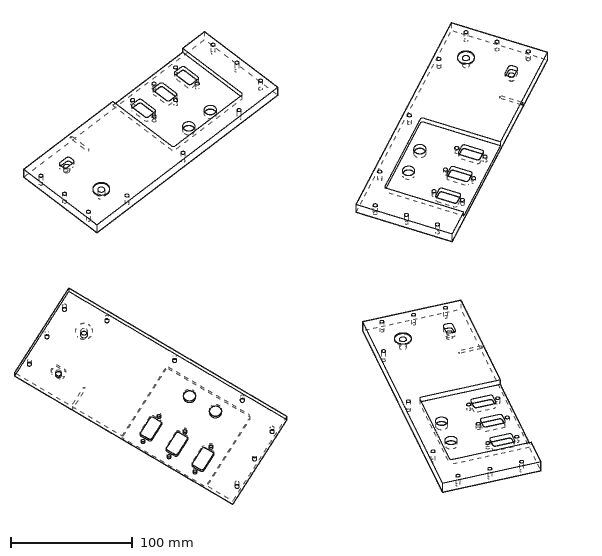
import cadquery as cq
import math

WIDTH = 85.0
LENGTH = 210.0
THICKNESS = 10.0

SCREW_DIA = 3.4
SCREW_INSET = 5.0
END_SCREW_PITCH = 27.5
SIDE_SCREW_PITCH = 65.0
SIDE_SCREW_MIDDLE_Y = LENGTH / 2

POCKET_WIDTH = 70.1
POCKET_LENGTH = 81.0
POCKET_DEPTH = THICKNESS / 2
POCKET_RADIUS = 2.0
POCKET_MIDDLE_Y = 144.0

LEFT_COLUMN_X = 20.0
RIGHT_COLUMN_X = 60.0

OPENING_PITCH = 25.0
CUTOUT_WIDTH = 19.0
CUTOUT_HEIGHT = 11.1
CUTOUT_RADIUS = 2.0
CONNECTOR_SCREW_SPACING = 25.0
ROUND_OPENING_DIA = 10.0

RECESS_Y = 30.0
SLOT_WIDTH = 8.0
SLOT_LENGTH = 11.5
SLOT_RADIUS = 2.5
SLOT_DEPTH = 5.0
SLOT_HOLE_DIA = 5.0
COUNTERBORE_DIA = 13.9
COUNTERBORE_DEPTH = 1.0
COUNTERBORE_HOLE_DIA = 5.7

CROSS_HOLE_DIA = 2.0
CROSS_HOLE_Y = 55.0
CROSS_HOLE_DEPTH = LEFT_COLUMN_X
DRILL_POINT_ANGLE = 118.0


def through_holes(points, diameter):
    """Vertical cylinders that pass through the whole plate."""
    return cq.Workplane("XY").pushPoints(points).circle(diameter / 2).extrude(THICKNESS)


def rounded_block(width, length, radius, bottom_z, points):
    """Blocks with rounded vertical edges, from bottom_z up to the plate top."""
    blocks = cq.Workplane("XY", origin=(0, 0, bottom_z)).pushPoints(points)
    return blocks.rect(width, length).extrude(THICKNESS - bottom_z).edges("|Z").fillet(radius)


def edge_screw_points():
    """Three screws along each short end and three along the +X side."""
    points = []
    for step in (-1, 0, 1):
        end_x = WIDTH / 2 + step * END_SCREW_PITCH
        points.append((end_x, SCREW_INSET))
        points.append((end_x, LENGTH - SCREW_INSET))
        points.append((WIDTH - SCREW_INSET, SIDE_SCREW_MIDDLE_Y + step * SIDE_SCREW_PITCH))
    return points


def pocket():
    """Open pocket: only the two inner corners on its +X side are rounded."""
    block = cq.Workplane("XY", origin=(0, 0, THICKNESS - POCKET_DEPTH))
    block = block.center(POCKET_WIDTH / 2, POCKET_MIDDLE_Y).rect(POCKET_WIDTH, POCKET_LENGTH)
    return block.extrude(POCKET_DEPTH).edges("|Z and >X").fillet(POCKET_RADIUS)


def counterbore():
    """Shallow round recess in the top face."""
    disc = cq.Workplane("XY", origin=(RIGHT_COLUMN_X, RECESS_Y, THICKNESS - COUNTERBORE_DEPTH))
    return disc.circle(COUNTERBORE_DIA / 2).extrude(COUNTERBORE_DEPTH)


def cross_hole():
    """Horizontal blind hole at half thickness, with a conical drill point."""
    radius = CROSS_HOLE_DIA / 2
    point_length = radius / math.tan(math.radians(DRILL_POINT_ANGLE / 2))
    profile = cq.Workplane("XY", origin=(0, CROSS_HOLE_Y, THICKNESS / 2)).lineTo(0, radius)
    profile = profile.lineTo(CROSS_HOLE_DEPTH, radius).lineTo(CROSS_HOLE_DEPTH + point_length, 0)
    return profile.close().revolve(360, (0, 0, 0), (1, 0, 0))


cutout_points = [(LEFT_COLUMN_X, POCKET_MIDDLE_Y + step * OPENING_PITCH) for step in (-1, 0, 1)]
connector_screw_points = [
    (x + side * CONNECTOR_SCREW_SPACING / 2, y) for x, y in cutout_points for side in (-1, 1)
]
round_opening_points = [
    (RIGHT_COLUMN_X, POCKET_MIDDLE_Y + side * OPENING_PITCH / 2) for side in (-1, 1)
]
slot_point = (LEFT_COLUMN_X, RECESS_Y)
counterbore_point = (RIGHT_COLUMN_X, RECESS_Y)

plate = cq.Workplane("XY").box(WIDTH, LENGTH, THICKNESS, centered=False)
plate = plate.cut(through_holes(edge_screw_points(), SCREW_DIA))

plate = plate.cut(pocket())
plate = plate.cut(rounded_block(CUTOUT_WIDTH, CUTOUT_HEIGHT, CUTOUT_RADIUS, 0, cutout_points))
plate = plate.cut(through_holes(connector_screw_points, SCREW_DIA))
plate = plate.cut(through_holes(round_opening_points, ROUND_OPENING_DIA))

slot_floor_z = THICKNESS - SLOT_DEPTH
plate = plate.cut(rounded_block(SLOT_WIDTH, SLOT_LENGTH, SLOT_RADIUS, slot_floor_z, [slot_point]))
plate = plate.cut(through_holes([slot_point], SLOT_HOLE_DIA))

plate = plate.cut(counterbore())
plate = plate.cut(through_holes([counterbore_point], COUNTERBORE_HOLE_DIA))

result = plate.cut(cross_hole())